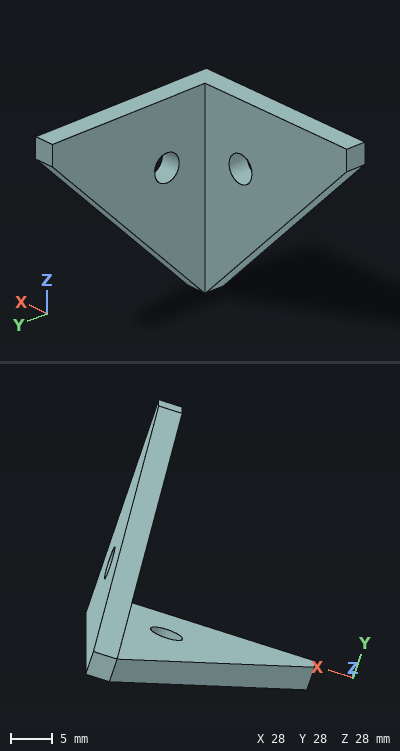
import cadquery as cq

side = 28.0
thickness = 3.0
hole_diameter = 4.0
hole_offset = 9.25


def triangular_plate():
    """Plate in XZ with its corner edge at X = side and its outer face on Y = 0."""
    outline = [
        (0, side),
        (side, side),
        (side, 0),
        (side - thickness, 0),
        (0, side - thickness),
    ]
    plate = cq.Workplane("XZ").polyline(outline).close().extrude(-thickness)
    hole = (
        cq.Workplane("XZ")
        .center(side - hole_offset, side - hole_offset)
        .circle(hole_diameter / 2)
        .extrude(-thickness)
    )
    return plate.cut(hole)


corner_bottom = (side, 0, 0)
corner_top = (side, 0, side)
front_plate = triangular_plate()
side_plate = front_plate.rotate(corner_bottom, corner_top, -90).mirror("YZ", corner_bottom)

result = front_plate.union(side_plate)